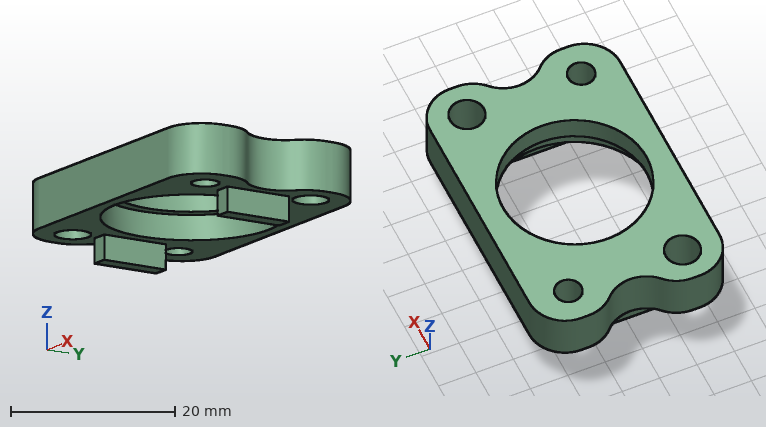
import cadquery as cq
import math

length = 38.73
width = 25.4
thickness = 6.35
corner_radius = 4.75

notch_radius = 4.75
lobe_radius = 4.75
lobe_center_y = 6.95

bore_diameter = 19.15
counterbore_diameter = 22.27
counterbore_depth = thickness / 2

hole_x = 14.9
hole_y = 7.63
small_hole_diameter = 3.45
large_hole_diameter = 4.5

tab_thickness = 2.25
tab_width = 8.9
tab_height = 3.18
tab_center_x = 13.85


def make_plate():
    return (
        cq.Workplane("XY")
        .rect(length, width)
        .extrude(thickness)
        .edges("|Z")
        .fillet(corner_radius)
    )


def make_notch(side):
    """Cutter for one end: notch arc plus the two lobe arcs tangent to it."""
    end_x = length / 2
    lobe_x = end_x - lobe_radius
    center_distance = lobe_radius + notch_radius
    notch_x = lobe_x + math.sqrt(center_distance**2 - lobe_center_y**2)
    tangent_angle = math.asin(lobe_center_y / center_distance)

    tangent_x = lobe_x + lobe_radius * math.cos(tangent_angle)
    tangent_y = lobe_center_y - lobe_radius * math.sin(tangent_angle)
    lobe_mid_x = lobe_x + lobe_radius * math.cos(tangent_angle / 2)
    lobe_mid_y = lobe_center_y - lobe_radius * math.sin(tangent_angle / 2)

    return (
        cq.Workplane("XY")
        .moveTo(side * end_x, lobe_center_y)
        .threePointArc((side * lobe_mid_x, lobe_mid_y), (side * tangent_x, tangent_y))
        .threePointArc((side * (notch_x - notch_radius), 0), (side * tangent_x, -tangent_y))
        .threePointArc((side * lobe_mid_x, -lobe_mid_y), (side * end_x, -lobe_center_y))
        .close()
        .extrude(thickness)
    )


def make_cylinder(diameter, height, x=0, y=0):
    return cq.Workplane("XY").center(x, y).circle(diameter / 2).extrude(height)


def make_tab(side):
    return (
        cq.Workplane("XY")
        .center(side * tab_center_x, 0)
        .rect(tab_thickness, tab_width)
        .extrude(-tab_height)
    )


result = make_plate()
result = result.cut(make_cylinder(bore_diameter, thickness))
result = result.cut(make_cylinder(counterbore_diameter, counterbore_depth))

for side in (-1, 1):
    result = result.cut(make_notch(side))
    result = result.cut(make_cylinder(small_hole_diameter, thickness, side * hole_x, -side * hole_y))
    result = result.cut(make_cylinder(large_hole_diameter, thickness, side * hole_x, side * hole_y))
    result = result.union(make_tab(side))